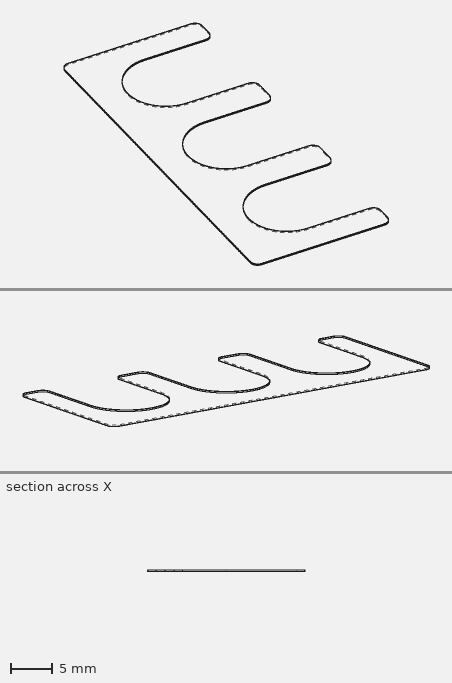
import cadquery as cq

length = 48.0
width = 19.0
thickness = 0.2
corner_radius = 1.0

slot_count = 3
slot_width = 10.5
end_finger_width = 3.75
back_strip_width = 4.2

slot_radius = slot_width / 2
slot_pitch = (length - 2 * end_finger_width - slot_width) / (slot_count - 1)
front_y = width / 2
slot_center_y = -width / 2 + back_strip_width + slot_radius


def slot_cutter(center_x):
    """U-shaped slot with a round closed end, open towards +Y."""
    left = center_x - slot_radius
    right = center_x + slot_radius
    return (
        cq.Workplane("XY")
        .workplane(offset=-thickness / 2)
        .moveTo(left, front_y)
        .lineTo(left, slot_center_y)
        .threePointArc((center_x, slot_center_y - slot_radius), (right, slot_center_y))
        .lineTo(right, front_y)
        .close()
        .extrude(thickness)
    )


plate = cq.Workplane("XY").box(length, width, thickness)
for index in range(slot_count):
    plate = plate.cut(slot_cutter((index - (slot_count - 1) / 2) * slot_pitch))

tip_corners = plate.faces(">Y").edges("|Z")
back_corners = plate.faces("<Y").edges("|Z")
result = tip_corners.add(back_corners).fillet(corner_radius)